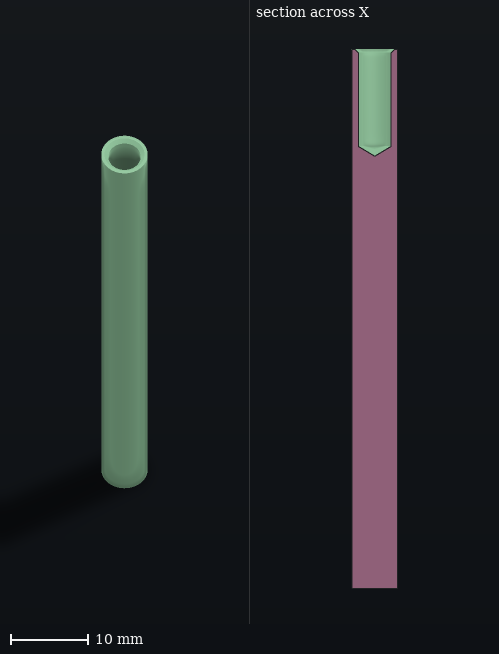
import cadquery as cq
import math

rod_length = 70.0
rod_diameter = 6.0

hole_diameter = 4.2
hole_depth = 12.6
drill_point_angle = 118.0

countersink_diameter = 5.2
countersink_angle = 90.0


def cone_height(large_diameter, small_diameter, included_angle):
    """Axial height of a cone between two diameters."""
    half_angle = math.radians(included_angle / 2)
    return (large_diameter - small_diameter) / 2 / math.tan(half_angle)


def make_rod():
    """Solid round rod standing on the XY plane."""
    return cq.Workplane("XY").circle(rod_diameter / 2).extrude(rod_length)


def make_hole_cutter():
    """Countersink, straight bore and drill point as one revolved body."""
    countersink_depth = cone_height(countersink_diameter, hole_diameter, countersink_angle)
    bore_end_z = rod_length - hole_depth
    drill_tip_z = bore_end_z - cone_height(hole_diameter, 0, drill_point_angle)
    return (
        cq.Workplane("XZ")
        .moveTo(0, rod_length)
        .lineTo(countersink_diameter / 2, rod_length)
        .lineTo(hole_diameter / 2, rod_length - countersink_depth)
        .lineTo(hole_diameter / 2, bore_end_z)
        .lineTo(0, drill_tip_z)
        .close()
        .revolve(360, (0, 0, 0), (0, 1, 0))
    )


result = make_rod().cut(make_hole_cutter())